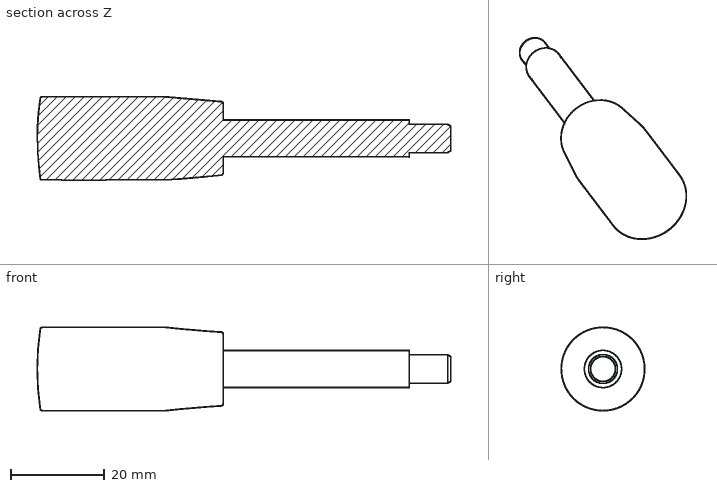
import cadquery as cq

total_length = 88.9
grip_length = 40.0
taper_start = 27.65
shoulder_x = 80.0

grip_radius = 9.0
grip_neck_radius = 7.9
rod_radius = 4.0
spigot_radius = 3.1

dome_height = 0.7
dome_rim_fillet = 0.45
neck_fillet = 0.5
tip_chamfer_length = 0.7
tip_chamfer_depth = 0.45


def make_grip():
    """Handle with a domed end, a cylindrical body and a tapered neck."""
    dome_radius = (grip_radius**2 + dome_height**2) / (2 * dome_height)
    mid_radius = grip_radius / 2
    mid_x = dome_radius - (dome_radius**2 - mid_radius**2) ** 0.5
    profile = (
        cq.Workplane("XY")
        .moveTo(0, 0)
        .threePointArc((mid_x, mid_radius), (dome_height, grip_radius))
        .lineTo(taper_start, grip_radius)
        .lineTo(grip_length, grip_neck_radius)
        .lineTo(grip_length, 0)
        .close()
    )
    grip = profile.revolve(360, (0, 0, 0), (1, 0, 0))
    grip = grip.faces(">X").edges().fillet(neck_fillet)
    rim = cq.selectors.NearestToPointSelector((dome_height, 0, 0))
    return grip.edges("%CIRCLE").edges(rim).fillet(dome_rim_fillet)


def make_rod():
    """Rod leaving the neck, stepped down to a spigot with a chamfered tip."""
    return (
        cq.Workplane("XY")
        .moveTo(grip_length - neck_fillet, 0)
        .lineTo(grip_length - neck_fillet, rod_radius)
        .lineTo(shoulder_x, rod_radius)
        .lineTo(shoulder_x, spigot_radius)
        .lineTo(total_length - tip_chamfer_length, spigot_radius)
        .lineTo(total_length, spigot_radius - tip_chamfer_depth)
        .lineTo(total_length, 0)
        .close()
        .revolve(360, (0, 0, 0), (1, 0, 0))
    )


result = make_grip().union(make_rod())